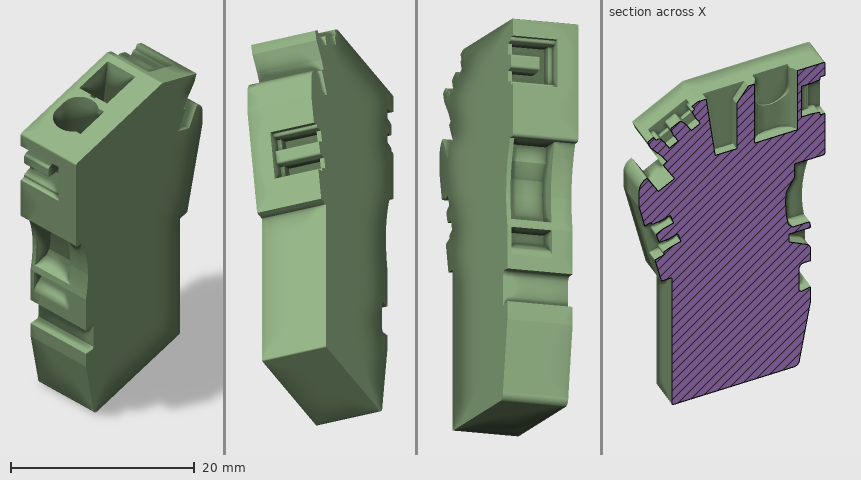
import cadquery as cq
import math

WIDTH = 7.6
HEIGHT = 42.0
DEPTH = 22.55

WAIST_FRONT_Y = 1.75
TOE_BOTTOM = (3.8, 0)
TOE_ARC_MIDDLE = (3.28, 0.3)
TOE_TOP = (3.1, 0.85)
TOE_SLOPE_TOP_Z = 8.7
RAIL_LIP_Z = 10.7
RAIL_SLOT_Y = 3.15
RAIL_SLOT_BOTTOM = (2.95, 10.45)
RAIL_SLOT_BOTTOM_Z = 10.65
RAIL_SLOT_TOP_Z = 14.35
RAIL_SLOT_CORNER_RADIUS = 0.55
GRIP_BOTTOM = (WAIST_FRONT_Y, 19.25)
GRIP_DEEPEST = (2.15, 22.9)
GRIP_TOP = (0.95, 28.8)
HEAD_RADIUS = 0.38
EDGE_RADIUS = 0.25
SHOULDER_FRONT = (15.4, HEIGHT)
SHOULDER_ANGLE = 30.0
SHOULDER_LENGTH = 7.05
SHOULDER_RADIUS = 0.5
NECK_POINTS = [(21.15, 37.45), (19.8, 35.8), (19.2, 34.8)]
HOOK_SLOT_POINTS = [(19.65, 34.5), (18.25, 32.1), (20.2, 31.0), (21.6, 33.4)]
HOOK_TIP = (21.9, 33.22)
HOOK_ARC_MIDDLE = (22.35, 32.68)
HOOK_ARC_END = (DEPTH, 31.88)
BACK_FLANK_TOP_Z = 29.55
BACK_FLANK_BOTTOM = (19.85, 18.05)
LOWER_BACK_Y = 18.55
LOWER_BACK_RADIUS = 0.15

MARKER_WIDTH = 5.15
MARKER_MOUTH = 5.35
MARKER_THROAT = 4.58
MARKER_FLOOR = 4.3
MARKER_SHELF_DEPTH = 0.65
MARKER_DEPTH = 1.65
MARKER_OVERCUT = 0.85
MARKER_EDGE_RADIUS = 0.25
MARKER_RIB_TOP = 1.43
MARKER_RIB_ROOT = 1.85
MARKER_SHORT_RIB_LENGTH = 3.3
MARKER_RECESS_X = 0.5
MARKER_RECESS_WIDTH = 4.2
MARKER_RECESS_DEPTH = 1.25
FRONT_MARKER_Z = 37.4
SHOULDER_MARKER_DISTANCE = 3.53
BACK_MARKER_CENTRE = (20.9, 24.1)
BACK_MARKER_TILT = 17.0

WINDOW_X = 0.5
WINDOW_WIDTH = 4.7
GRIP_WINDOW_FLOOR_Z = 20.0
GRIP_WINDOW_FLOOR_BACK_Y = 3.95
GRIP_WINDOW_BACK_BOTTOM = (4.45, 20.5)
GRIP_WINDOW_BACK_DEEPEST = (4.8, 23.65)
GRIP_WINDOW_BACK_TOP = (4.7, 25.2)
GRIP_WINDOW_OVERHANG_FRONT = (3.7, 26.95)
LOWER_WINDOW_BOTTOM_Z = 15.95
LOWER_WINDOW_TOP_Z = 19.05
LOWER_WINDOW_ROUND_MIDDLE = (1.95, 16.55)
LOWER_WINDOW_ROUND_END = (2.4, 16.95)
LOWER_WINDOW_RAMP_TOP = (4.35, 18.0)

ENTRY_X = 0.9
DRIVER_WIDTH = 3.82
DRIVER_FRONT_Y = 9.32
DRIVER_BACK_Y = 14.4
DRIVER_DEPTH = 8.4
DRIVER_RAMP_BACK_Y = 10.75
DRIVER_RAMP_DROP = 2.0
DRIVER_LIP_BACK_Y = 14.3
DRIVER_LIP_DROP = 0.95
DRIVER_FLOOR_BACK_Y = 13.3
KEYWAY_X = 2.5
KEYWAY_WIDTH = 0.67
KEYWAY_FRONT_Y = 9.07
KEYWAY_TOE = (9.5, 0.75)
KEYWAY_FLOOR_FRONT_Y = 9.83
WIRE_WIDTH = 4.2
WIRE_LENGTH = 5.5
WIRE_FRONT_Y = 3.25
WIRE_DEPTH = 8.4
CLAMP_FRONT_Y = 3.9
CLAMP_LENGTH = 4.25
CLAMP_RIGHT_X = 5.2
CLAMP_DEPTH = 2.75


def side_prism(outline, x_start, length):
    """Extrude a closed Y-Z outline along X."""
    return cq.Workplane("YZ", origin=(x_start, 0, 0)).polyline(outline).close().extrude(length)


def arc_middle(tangent_point, end):
    """Point near the middle of a shallow arc that runs vertically at tangent_point."""
    return (
        tangent_point[0] + (end[0] - tangent_point[0]) / 4,
        (tangent_point[1] + end[1]) / 2,
    )


def make_body():
    shoulder = math.radians(SHOULDER_ANGLE)
    shoulder_back = (
        SHOULDER_FRONT[0] + SHOULDER_LENGTH * math.cos(shoulder),
        SHOULDER_FRONT[1] - SHOULDER_LENGTH * math.sin(shoulder),
    )
    outline = (
        cq.Workplane("YZ")
        .moveTo(*TOE_BOTTOM)
        .threePointArc(TOE_ARC_MIDDLE, TOE_TOP)
        .lineTo(WAIST_FRONT_Y, TOE_SLOPE_TOP_Z)
        .lineTo(WAIST_FRONT_Y, RAIL_LIP_Z)
        .lineTo(*RAIL_SLOT_BOTTOM)
        .lineTo(RAIL_SLOT_Y, RAIL_SLOT_BOTTOM_Z)
        .lineTo(RAIL_SLOT_Y, RAIL_SLOT_TOP_Z - RAIL_SLOT_CORNER_RADIUS)
        .tangentArcPoint((-RAIL_SLOT_CORNER_RADIUS, RAIL_SLOT_CORNER_RADIUS))
        .lineTo(WAIST_FRONT_Y, RAIL_SLOT_TOP_Z)
        .lineTo(*GRIP_BOTTOM)
        .threePointArc(arc_middle(GRIP_DEEPEST, GRIP_BOTTOM), GRIP_DEEPEST)
        .threePointArc(arc_middle(GRIP_DEEPEST, GRIP_TOP), GRIP_TOP)
        .lineTo(HEAD_RADIUS, GRIP_TOP[1])
        .tangentArcPoint((-HEAD_RADIUS, HEAD_RADIUS))
        .lineTo(0, HEIGHT - EDGE_RADIUS)
        .tangentArcPoint((EDGE_RADIUS, EDGE_RADIUS))
        .lineTo(*SHOULDER_FRONT)
        .lineTo(*shoulder_back)
    )
    for point in NECK_POINTS + HOOK_SLOT_POINTS + [HOOK_TIP]:
        outline = outline.lineTo(*point)
    outline = (
        outline
        .threePointArc(HOOK_ARC_MIDDLE, HOOK_ARC_END)
        .lineTo(DEPTH, BACK_FLANK_TOP_Z)
        .lineTo(*BACK_FLANK_BOTTOM)
        .lineTo(LOWER_BACK_Y, BACK_FLANK_BOTTOM[1])
        .lineTo(LOWER_BACK_Y, LOWER_BACK_RADIUS)
        .tangentArcPoint((-LOWER_BACK_RADIUS, -LOWER_BACK_RADIUS))
        .close()
    )
    body = outline.extrude(WIDTH)
    shoulder_edge = cq.selectors.NearestToPointSelector((WIDTH / 2, *SHOULDER_FRONT))
    return body.edges("|X").edges(shoulder_edge).fillet(SHOULDER_RADIUS)


def marker_pocket(face_centre, inward_angle, rib_length):
    """Cutter for a ribbed marker pocket; inward_angle is measured from +Y towards +Z."""
    angle = math.radians(inward_angle)

    def place(along, depth):
        return (
            face_centre[0] + depth * math.cos(angle) - along * math.sin(angle),
            face_centre[1] + depth * math.sin(angle) + along * math.cos(angle),
        )

    def prism(local_outline, x_start, length):
        return side_prism([place(along, depth) for along, depth in local_outline], x_start, length)

    def round_edges(solid, half_span, length):
        """Round the two long edges that lie half_span either side of centre at shelf depth."""
        for along in (half_span, -half_span):
            edge_y, edge_z = place(along, MARKER_SHELF_DEPTH)
            edge_middle = cq.selectors.NearestToPointSelector((length / 2, edge_y, edge_z))
            solid = solid.edges("|X").edges(edge_middle).fillet(MARKER_EDGE_RADIUS)
        return solid

    half_mouth = MARKER_MOUTH / 2
    half_throat = MARKER_THROAT / 2
    half_floor = MARKER_FLOOR / 2
    half_rib_top = MARKER_RIB_TOP / 2
    half_rib_root = MARKER_RIB_ROOT / 2
    recess_bottom = MARKER_DEPTH + MARKER_RECESS_DEPTH
    pocket = prism(
        [
            (half_mouth, -MARKER_OVERCUT),
            (half_mouth, MARKER_SHELF_DEPTH),
            (half_throat, MARKER_SHELF_DEPTH),
            (half_floor, MARKER_DEPTH),
            (-half_floor, MARKER_DEPTH),
            (-half_throat, MARKER_SHELF_DEPTH),
            (-half_mouth, MARKER_SHELF_DEPTH),
            (-half_mouth, -MARKER_OVERCUT),
        ],
        0,
        MARKER_WIDTH,
    )
    pocket = round_edges(pocket, half_throat, MARKER_WIDTH)
    recess = prism(
        [
            (half_floor, MARKER_DEPTH),
            (half_floor, recess_bottom),
            (-half_floor, recess_bottom),
            (-half_floor, MARKER_DEPTH),
        ],
        MARKER_RECESS_X,
        MARKER_RECESS_WIDTH,
    )
    rib = prism(
        [
            (half_rib_root, recess_bottom),
            (half_rib_root, MARKER_DEPTH),
            (half_rib_top, MARKER_SHELF_DEPTH),
            (-half_rib_top, MARKER_SHELF_DEPTH),
            (-half_rib_root, MARKER_DEPTH),
            (-half_rib_root, recess_bottom),
        ],
        0,
        rib_length,
    )
    rib = round_edges(rib, half_rib_top, rib_length)
    return pocket.union(recess).cut(rib)


def cut_marker_pockets(body):
    shoulder = math.radians(SHOULDER_ANGLE)
    shoulder_centre = (
        SHOULDER_FRONT[0] + SHOULDER_MARKER_DISTANCE * math.cos(shoulder),
        SHOULDER_FRONT[1] - SHOULDER_MARKER_DISTANCE * math.sin(shoulder),
    )
    body = body.cut(marker_pocket((0, FRONT_MARKER_Z), 0, MARKER_SHORT_RIB_LENGTH))
    body = body.cut(marker_pocket(shoulder_centre, 270 - SHOULDER_ANGLE, MARKER_WIDTH))
    return body.cut(marker_pocket(BACK_MARKER_CENTRE, 180 - BACK_MARKER_TILT, MARKER_WIDTH))


def cut_grip_window(body):
    lower_arc_middle = arc_middle(GRIP_WINDOW_BACK_DEEPEST, GRIP_WINDOW_BACK_BOTTOM)
    upper_arc_middle = arc_middle(GRIP_WINDOW_BACK_DEEPEST, GRIP_WINDOW_BACK_TOP)
    window = (
        cq.Workplane("YZ", origin=(WINDOW_X, 0, 0))
        .moveTo(0, GRIP_WINDOW_FLOOR_Z)
        .lineTo(GRIP_WINDOW_FLOOR_BACK_Y, GRIP_WINDOW_FLOOR_Z)
        .lineTo(*GRIP_WINDOW_BACK_BOTTOM)
        .threePointArc(lower_arc_middle, GRIP_WINDOW_BACK_DEEPEST)
        .threePointArc(upper_arc_middle, GRIP_WINDOW_BACK_TOP)
        .lineTo(*GRIP_WINDOW_OVERHANG_FRONT)
        .lineTo(GRIP_WINDOW_OVERHANG_FRONT[0], GRIP_TOP[1])
        .lineTo(0, GRIP_TOP[1])
        .close()
        .extrude(WINDOW_WIDTH)
    )
    return body.cut(window)


def cut_lower_window(body):
    window = (
        cq.Workplane("YZ", origin=(WINDOW_X, 0, 0))
        .moveTo(0, LOWER_WINDOW_BOTTOM_Z)
        .lineTo(WAIST_FRONT_Y, LOWER_WINDOW_BOTTOM_Z)
        .threePointArc(LOWER_WINDOW_ROUND_MIDDLE, LOWER_WINDOW_ROUND_END)
        .lineTo(*LOWER_WINDOW_RAMP_TOP)
        .lineTo(LOWER_WINDOW_RAMP_TOP[0], LOWER_WINDOW_TOP_Z)
        .lineTo(0, LOWER_WINDOW_TOP_Z)
        .close()
        .extrude(WINDOW_WIDTH)
    )
    return body.cut(window)


def cut_driver_entry(body):
    floor_z = HEIGHT - DRIVER_DEPTH
    funnel = side_prism(
        [
            (DRIVER_FRONT_Y, HEIGHT),
            (DRIVER_RAMP_BACK_Y, HEIGHT - DRIVER_RAMP_DROP),
            (DRIVER_RAMP_BACK_Y, floor_z),
            (DRIVER_FLOOR_BACK_Y, floor_z),
            (DRIVER_LIP_BACK_Y, HEIGHT - DRIVER_LIP_DROP),
            (DRIVER_BACK_Y, HEIGHT),
        ],
        ENTRY_X,
        DRIVER_WIDTH,
    )
    keyway = side_prism(
        [
            (KEYWAY_FRONT_Y, HEIGHT),
            (KEYWAY_TOE[0], floor_z + KEYWAY_TOE[1]),
            (KEYWAY_FLOOR_FRONT_Y, floor_z),
            (DRIVER_RAMP_BACK_Y, floor_z),
            (DRIVER_RAMP_BACK_Y, HEIGHT),
        ],
        KEYWAY_X,
        KEYWAY_WIDTH,
    )
    return body.cut(funnel).cut(keyway)


def cut_wire_entry(body):
    centre_x = ENTRY_X + WIRE_WIDTH / 2
    centre_y = WIRE_FRONT_Y + WIRE_LENGTH / 2
    notch_axis_z = HEIGHT - CLAMP_DEPTH
    hole = (
        cq.Workplane("XY", origin=(centre_x, centre_y, HEIGHT - WIRE_DEPTH))
        .slot2D(WIRE_LENGTH, WIRE_WIDTH, 90)
        .extrude(WIRE_DEPTH)
    )
    clamp_notch = (
        cq.Workplane("YZ", origin=(centre_x, 0, 0))
        .moveTo(CLAMP_FRONT_Y, HEIGHT)
        .lineTo(CLAMP_FRONT_Y, notch_axis_z)
        .tangentArcPoint((CLAMP_LENGTH, 0))
        .lineTo(CLAMP_FRONT_Y + CLAMP_LENGTH, HEIGHT)
        .close()
        .extrude(CLAMP_RIGHT_X - centre_x)
    )
    return body.cut(hole).cut(clamp_notch)


result = make_body()
result = cut_marker_pockets(result)
result = cut_grip_window(result)
result = cut_lower_window(result)
result = cut_driver_entry(result)
result = cut_wire_entry(result)